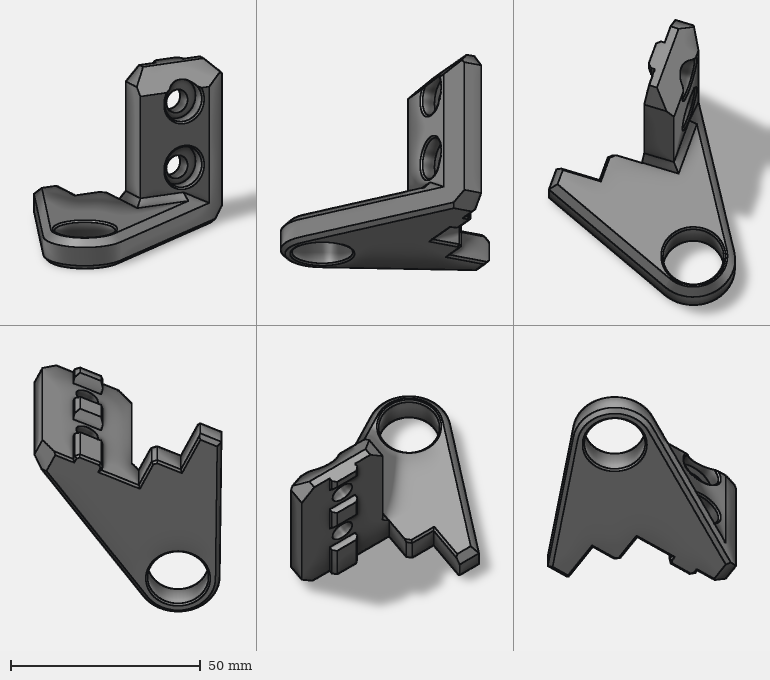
import cadquery as cq
import math

BASE_HEIGHT = 8.15
RING_RADIUS = 11.0
BORE_DIAMETER = 16.0
BORE_CHAMFER = 0.5
TOP_CHAMFER = 2.0
BOTTOM_CHAMFER = 1.15
NOTCH_CHAMFER = 0.6

ARM_END_X = -42.5
ARM_SHARP_Y = 7.25
ARM_BACK_Y = 13.5
STEP_X = -30.55
STEP_BACK_Y = 21.45
STEP_CORNER_CHAMFER = 1.1

PLATE_FACE_X = -21.45
PLATE_THICKNESS = 8.3
PLATE_WIDTH = 26.0
PLATE_HEIGHT = 44.0
PLATE_TIP_X = -16.45
CORNER_CHAMFER = 4.0
BACK_SLOPE = 6.05
FOOT_CHAMFER = 1.95
PLATE_BACK_X = PLATE_FACE_X + PLATE_THICKNESS
PLATE_END_Y = 60.5 - RING_RADIUS
PLATE_START_Y = PLATE_END_Y - PLATE_WIDTH

HOLE_Y = PLATE_END_Y - PLATE_WIDTH / 2
HOLE_HEIGHTS = (16.0, 34.0)
HOLE_DIAMETER = 6.3
HEAD_DIAMETER = 11.0
HEAD_DEPTH = 4.0
HEAD_RISE = 0.85
HEAD_CHAMFER = 0.5

RAIL_WIDTH = 8.15
RAIL_DEPTH = 2.05
RAIL_CHAMFER = 1.0
RAIL_RAMP = 3.0
RAIL_FOOT_TOP = 11.7
RAIL_SPANS = ((20.45, 29.45), (38.45, PLATE_HEIGHT))


def tangent_point(x, y, side):
    """Point where the line from (x, y) touches the ring; side is +1 or -1."""
    angle = math.atan2(y, x) + side * math.acos(RING_RADIUS / math.hypot(x, y))
    return RING_RADIUS * math.cos(angle), RING_RADIUS * math.sin(angle)


arm_touch = tangent_point(ARM_END_X, ARM_SHARP_Y, 1)
plate_touch = tangent_point(PLATE_TIP_X, PLATE_END_Y, -1)
side_slope = (PLATE_END_Y - plate_touch[1]) / (PLATE_TIP_X - plate_touch[0])
apex_y = PLATE_END_Y + side_slope * (ARM_END_X - PLATE_TIP_X)
bisector = (math.atan2(arm_touch[1], arm_touch[0]) + math.atan2(plate_touch[1], plate_touch[0])) / 2
arc_middle = (RING_RADIUS * math.cos(bisector), RING_RADIUS * math.sin(bisector))


def triangle(height):
    return (
        cq.Workplane("XY")
        .moveTo(ARM_END_X, ARM_SHARP_Y)
        .lineTo(*arm_touch)
        .threePointArc(arc_middle, plate_touch)
        .lineTo(ARM_END_X, apex_y)
        .close()
        .extrude(height)
    )


def block(x_range, y_range, z_range):
    size = [high - low for low, high in (x_range, y_range, z_range)]
    return cq.Workplane("XY").box(*size, centered=False).translate((x_range[0], y_range[0], z_range[0]))


def base_and_foot():
    """Base with sloped rim; the rim slope also trims the wedge at the plate foot."""
    foot_top = BASE_HEIGHT + FOOT_CHAMFER
    body = triangle(foot_top).faces(">Z").chamfer(TOP_CHAMFER + FOOT_CHAMFER)
    body = body.faces("<Z").chamfer(BOTTOM_CHAMFER)
    allowed = (
        cq.Workplane("XY")
        .moveTo(ARM_END_X, -RING_RADIUS)
        .lineTo(RING_RADIUS, -RING_RADIUS)
        .lineTo(RING_RADIUS, PLATE_END_Y)
        .lineTo(PLATE_FACE_X, PLATE_END_Y)
        .lineTo(PLATE_FACE_X, STEP_BACK_Y)
        .lineTo(STEP_X + STEP_CORNER_CHAMFER, STEP_BACK_Y)
        .lineTo(STEP_X, STEP_BACK_Y - STEP_CORNER_CHAMFER)
        .lineTo(STEP_X, ARM_BACK_Y)
        .lineTo(ARM_END_X, ARM_BACK_Y)
        .close()
        .extrude(BASE_HEIGHT)
    )
    foot = block(
        (PLATE_FACE_X, PLATE_BACK_X + FOOT_CHAMFER),
        (PLATE_START_Y - FOOT_CHAMFER, PLATE_END_Y),
        (0, foot_top),
    )
    foot = foot.faces(">Z").edges("<Y or >X").chamfer(FOOT_CHAMFER)
    return body.intersect(allowed.union(foot))


def plate():
    body = block((PLATE_FACE_X, PLATE_BACK_X), (PLATE_START_Y, PLATE_END_Y), (BOTTOM_CHAMFER, PLATE_HEIGHT))
    body = body.edges("|X and >Z").chamfer(CORNER_CHAMFER)
    slope = (
        cq.Workplane("XZ", origin=(0, PLATE_END_Y, 0))
        .moveTo(PLATE_BACK_X, PLATE_HEIGHT)
        .lineTo(PLATE_BACK_X - BACK_SLOPE, PLATE_HEIGHT)
        .lineTo(PLATE_BACK_X, PLATE_HEIGHT - BACK_SLOPE)
        .close()
        .extrude(PLATE_WIDTH)
    )
    return body.cut(slope).intersect(triangle(PLATE_HEIGHT))


def lower_corner():
    """Cutter for the sloped corner under the +Y end of the plate."""
    return (
        cq.Workplane("YZ", origin=(PLATE_FACE_X, 0, 0))
        .moveTo(PLATE_END_Y, 0)
        .lineTo(PLATE_END_Y, CORNER_CHAMFER)
        .lineTo(PLATE_END_Y - CORNER_CHAMFER, 0)
        .close()
        .extrude(PLATE_THICKNESS)
    )


def rail_prism(bottom, top):
    half = RAIL_WIDTH / 2
    crest_x = PLATE_FACE_X - RAIL_DEPTH
    return (
        cq.Workplane("XY", origin=(0, HOLE_Y, bottom))
        .moveTo(PLATE_FACE_X, -half)
        .lineTo(crest_x + RAIL_CHAMFER, -half)
        .lineTo(crest_x, -half + RAIL_CHAMFER)
        .lineTo(crest_x, half - RAIL_CHAMFER)
        .lineTo(crest_x + RAIL_CHAMFER, half)
        .lineTo(PLATE_FACE_X, half)
        .close()
        .extrude(top - bottom)
    )


def ramped_rail(bottom, top):
    ramp = (
        cq.Workplane("XZ", origin=(0, HOLE_Y + RAIL_WIDTH / 2, 0))
        .moveTo(PLATE_FACE_X, bottom)
        .lineTo(PLATE_FACE_X - RAIL_DEPTH, bottom)
        .lineTo(PLATE_FACE_X - RAIL_DEPTH, bottom + RAIL_RAMP)
        .close()
        .extrude(RAIL_WIDTH)
    )
    return rail_prism(bottom, top).cut(ramp)


def x_cylinder(x_start, diameter, length, height):
    return cq.Workplane("YZ", origin=(x_start, HOLE_Y, height)).circle(diameter / 2).extrude(length)


def screw_hole(height):
    """Through hole with a chamfered head recess, set slightly higher, opening to +X."""
    head_height = height + HEAD_RISE
    shank = x_cylinder(PLATE_FACE_X, HOLE_DIAMETER, PLATE_THICKNESS, height)
    head = x_cylinder(PLATE_BACK_X - HEAD_DEPTH, HEAD_DIAMETER, HEAD_DEPTH, head_height)
    mouth = cq.Solid.makeCone(
        HEAD_DIAMETER / 2,
        HEAD_DIAMETER / 2 + HEAD_CHAMFER,
        HEAD_CHAMFER,
        pnt=cq.Vector(PLATE_BACK_X - HEAD_CHAMFER, HOLE_Y, head_height),
        dir=cq.Vector(1, 0, 0),
    )
    return shank.union(head).union(cq.Workplane(mouth))


def ring_bore():
    """Bore with a chamfer at both ends."""
    radius = BORE_DIAMETER / 2
    return (
        cq.Workplane("XZ")
        .lineTo(radius + BORE_CHAMFER, 0)
        .lineTo(radius, BORE_CHAMFER)
        .lineTo(radius, BASE_HEIGHT - BORE_CHAMFER)
        .lineTo(radius + BORE_CHAMFER, BASE_HEIGHT)
        .lineTo(0, BASE_HEIGHT)
        .close()
        .revolve(360, (0, 0, 0), (0, 1, 0))
    )


result = base_and_foot().union(plate()).union(rail_prism(0, RAIL_FOOT_TOP))
for rail_bottom, rail_top in RAIL_SPANS:
    result = result.union(ramped_rail(rail_bottom, rail_top))
result = result.cut(lower_corner())

SELECT_MARGIN = 0.05

step_side = cq.selectors.BoxSelector(
    (ARM_END_X - SELECT_MARGIN, ARM_BACK_Y - SELECT_MARGIN, BASE_HEIGHT - SELECT_MARGIN),
    (STEP_X + STEP_CORNER_CHAMFER, STEP_BACK_Y, BASE_HEIGHT + SELECT_MARGIN),
)
result = result.edges(step_side).chamfer(NOTCH_CHAMFER)
under_side = cq.selectors.BoxSelector(
    (ARM_END_X - SELECT_MARGIN, ARM_BACK_Y - SELECT_MARGIN, -SELECT_MARGIN),
    (PLATE_FACE_X + SELECT_MARGIN, PLATE_END_Y, SELECT_MARGIN),
)
result = result.edges(under_side).chamfer(NOTCH_CHAMFER)

for hole_height in HOLE_HEIGHTS:
    result = result.cut(screw_hole(hole_height))
result = result.cut(ring_bore())